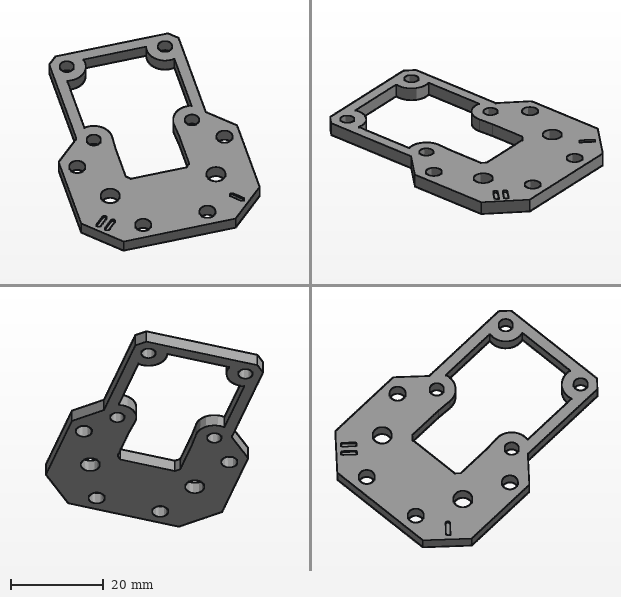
import cadquery as cq
import math

length = 55.5
wide_width = 40.0
narrow_width = 29.0
thickness = 3.0
narrow_chamfer = 1.9
wide_chamfer = 7.45
shoulder_x = 24.1

corner_hole_diameter = 3.1
corner_hole_spacing = 22.0
corner_hole_inset = 3.5
boss_radius = 4.1

wall = 2.5
window_narrow_half_width = 7.1
window_end_x = 38.4
window_end_chamfer = 0.9
boss_ramp_end_x = 29.2

pivot_hole_diameter = 4.13
row_hole_diameter = 3.5
row_center_x = 42.0
row_center_y = 11.85
row_hole_reach = 11.0
row_angle = 25.0

groove_width = 1.0
groove_length = 3.5
groove_depth = 0.5
groove_spacing = 2.1
groove_angle = 45.0
single_groove_center = (49.6, 14.5)
groove_pair_center = (49.35, -14.85)

far_hole_x = corner_hole_inset + corner_hole_spacing
half_wide = wide_width / 2
half_narrow = narrow_width / 2
corner_hole_points = [
    (x, side * corner_hole_spacing / 2)
    for x in (corner_hole_inset, far_hole_x)
    for side in (-1, 1)
]


def make_cylinders(points, diameter):
    return cq.Workplane("XY").pushPoints(points).circle(diameter / 2).extrude(thickness)


def make_plate():
    shoulder_run = half_wide - half_narrow
    upper_edge = [
        (0, half_narrow - narrow_chamfer),
        (narrow_chamfer, half_narrow),
        (shoulder_x, half_narrow),
        (shoulder_x + shoulder_run, half_wide),
        (length - wide_chamfer, half_wide),
        (length, half_wide - wide_chamfer),
    ]
    lower_edge = [(x, -y) for x, y in reversed(upper_edge)]
    return cq.Workplane("XY").polyline(upper_edge + lower_edge).close().extrude(thickness)


def make_boss_ramp(side):
    """Wedge whose flat face leaves a far boss tangentially and meets the window edge."""
    center_y = corner_hole_spacing / 2
    run_x = boss_ramp_end_x - far_hole_x
    run_y = window_narrow_half_width - center_y
    tangent_angle = math.atan2(run_y, run_x) - math.acos(boss_radius / math.hypot(run_x, run_y))
    tangent_x = far_hole_x + boss_radius * math.cos(tangent_angle)
    tangent_y = center_y + boss_radius * math.sin(tangent_angle)
    corners = [
        (far_hole_x, side * center_y),
        (tangent_x, side * tangent_y),
        (boss_ramp_end_x, side * window_narrow_half_width),
    ]
    return cq.Workplane("XY").polyline(corners).close().extrude(thickness)


def make_window_block(end_x, half_width):
    block = cq.Workplane("XY").box(
        end_x - wall, 2 * half_width, thickness, centered=(False, True, False)
    )
    return block.translate((wall, 0, 0))


def make_window():
    wide_part = make_window_block(far_hole_x, half_narrow - wall)
    narrow_part = make_window_block(window_end_x, window_narrow_half_width)
    narrow_part = narrow_part.edges("|Z and >X").chamfer(window_end_chamfer)
    bosses = make_cylinders(corner_hole_points, 2 * boss_radius)
    window = wide_part.union(narrow_part).cut(bosses)
    for side in (-1, 1):
        window = window.cut(make_boss_ramp(side))
    return window


def make_groove(center, angle):
    return (
        cq.Workplane("XY")
        .workplane(offset=thickness - groove_depth)
        .center(*center)
        .slot2D(groove_length, groove_width, angle)
        .extrude(groove_depth)
    )


def cut_row_holes(body):
    reach_x = row_hole_reach * math.cos(math.radians(row_angle))
    reach_y = row_hole_reach * math.sin(math.radians(row_angle))
    for side in (-1, 1):
        row_points = [
            (row_center_x + end * reach_x, side * (row_center_y - end * reach_y))
            for end in (-1, 1)
        ]
        body = body.cut(make_cylinders(row_points, row_hole_diameter))
        body = body.cut(make_cylinders([(row_center_x, side * row_center_y)], pivot_hole_diameter))
    return body


def cut_grooves(body):
    body = body.cut(make_groove(single_groove_center, groove_angle))
    pair_x, pair_y = groove_pair_center
    shift = groove_spacing / 2 * math.sin(math.radians(groove_angle))
    for side in (-1, 1):
        center = (pair_x + side * shift, pair_y + side * shift)
        body = body.cut(make_groove(center, -groove_angle))
    return body


plate = make_plate().cut(make_window())
plate = plate.cut(make_cylinders(corner_hole_points, corner_hole_diameter))
plate = cut_row_holes(plate)
result = cut_grooves(plate)